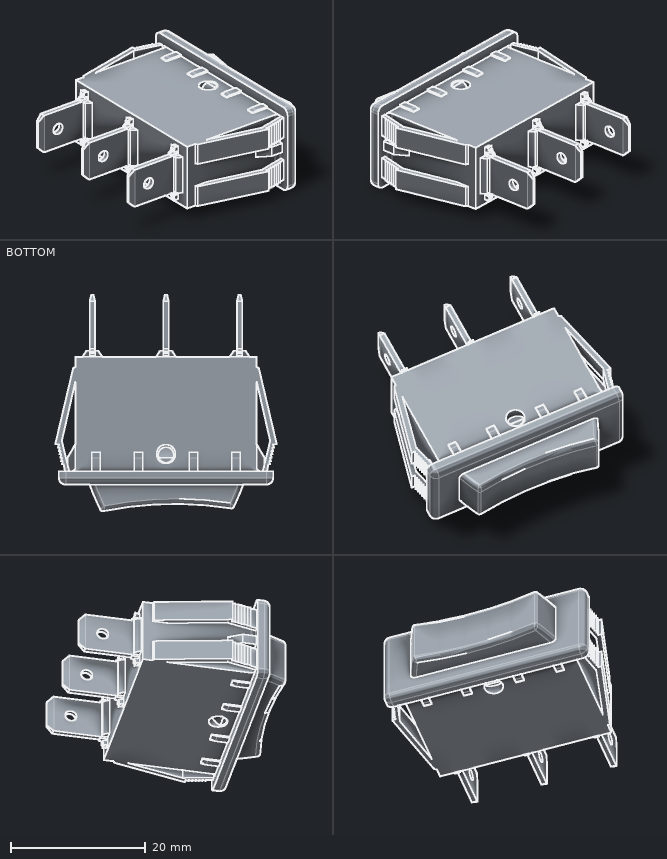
import cadquery as cq
import math


OVERLAP = 0.33

BEZEL_LENGTH = 31.9
BEZEL_HEIGHT = 13.9
BEZEL_DEPTH = 2.0
BEZEL_CORNER_RADIUS = 1.05
BEZEL_EDGE_RADIUS = 1.02

BODY_LENGTH = 26.95
BODY_HEIGHT = 10.4
BODY_DEPTH = 17.0
ROOT_FILLET = 0.53
HALF_BODY = BODY_LENGTH / 2
HALF_HEIGHT = BODY_HEIGHT / 2

ROCKER_HEIGHT = 8.05
ROCKER_LEFT_FOOT = (-11.52, BEZEL_DEPTH - OVERLAP)
ROCKER_RIGHT_FOOT = (11.6, BEZEL_DEPTH - OVERLAP)
ROCKER_LEFT_TIP = (-9.65, 6.05)
ROCKER_RIGHT_TIP = (9.95, 5.6)
ROCKER_VALLEY_Y = 4.92
ROCKER_END_BULGE = 0.05
ROCKER_TIP_RADIUS = 0.4
ROCKER_SIDE_RADIUS = 0.8

INNER_RIB_X = 4.1
INNER_RIB_WIDTH = 1.32
OUTER_RIB_X = 10.43
OUTER_RIB_WIDTH = 1.22
RIB_RISE = 0.23
RIB_END_RISE = 0.1
RIB_FLAT_LENGTH = 1.98
RIB_LENGTH = 2.77

PIVOT_HOLE_DIAMETER = 2.8
PIVOT_PIN_DIAMETER = 2.3
PIVOT_HOLE_Y = -2.55
PIVOT_PIN_Y = -2.4
PIVOT_GAP_DEPTH = 3.63
PIN_RECESS = 0.13
PIN_FLAT_END_Y = -1.98
PIN_RAMP_ANGLE = 38

CLIP_WIDTH = 3.3
CLIP_ROOT_OUTER = 15.05
CLIP_ROOT_INNER = 14.4
CLIP_REACH = 16.5
CLIP_PEAK_Y = -3.95
CLIP_ELBOW_X = 15.48
CLIP_ELBOW_Y = -4.5
CLIP_FOOT_INNER_Y = -13.25
CLIP_FOOT_X = 13.83
CLIP_FOOT_Y = -15.3
CLIP_END_Y = -15.5
TOOTH_COUNT = 6
TOOTH_PITCH = 0.5
TOOTH_FIRST_X = 15.5
TOOTH_STEP = 0.115
TOOTH_LEDGE = 0.25

WEDGE_X = 14.65
WEDGE_HEIGHT = 1.52
WEDGE_FLAT_LENGTH = 2.0
WEDGE_LENGTH = 4.03

TERMINAL_SPACING = 10.95
BLADE_THICKNESS = 0.82
BLADE_HEIGHT = 6.2
BLADE_LENGTH = 9.25
BLADE_TIP_CHAMFER = 0.95
BLADE_TIP_THICKNESS = 0.35
BLADE_HOLE_DIAMETER = 1.7
BLADE_HOLE_Y = -22.65
SHOULDER_HEIGHT = 6.65
SHOULDER_LENGTH = 1.2
COLLAR_HEIGHT = 5.97
COLLAR_WIDTH = 2.97
COLLAR_END_WIDTH = 1.78
COLLAR_LENGTH = 0.92
LUG_PROFILE = [
    (-OVERLAP, 4.32), (0.0, 4.4), (0.15, 4.45), (0.53, 4.45), (0.7, 4.62), (0.7, 4.15),
    (0.82, 4.03), (0.82, 3.85), (0.7, 3.65), (0.4, 3.65), (0.0, 3.55), (-OVERLAP, 3.55),
]


def block(x_size, y_front, y_rear, z_size):
    """Box centred on mid height, running from y_front back to y_rear."""
    return (
        cq.Workplane("XY")
        .box(x_size, y_front - y_rear, z_size)
        .translate((0, (y_front + y_rear) / 2, 0))
    )


def both_ends(part):
    return part.union(part.mirror("YZ"))


def above_and_below(part):
    return part.union(part.mirror("XY"))


def bezel():
    plate = block(BEZEL_LENGTH, BEZEL_DEPTH, 0, BEZEL_HEIGHT)
    plate = plate.edges("|Y").fillet(BEZEL_CORNER_RADIUS)
    return plate.faces(">Y").edges().fillet(BEZEL_EDGE_RADIUS)


def body():
    """Housing block with a fillet where its ends meet the bezel."""
    foot = HALF_BODY + ROOT_FILLET
    bend = ROOT_FILLET * (1 - math.sqrt(0.5))
    root = (
        cq.Workplane("XY")
        .moveTo(-foot, 0)
        .threePointArc((-HALF_BODY - bend, -bend), (-HALF_BODY, -ROOT_FILLET))
        .lineTo(HALF_BODY, -ROOT_FILLET)
        .threePointArc((HALF_BODY + bend, -bend), (foot, 0))
        .close()
        .extrude(HALF_HEIGHT, both=True)
    )
    return block(BODY_LENGTH, OVERLAP, -BODY_DEPTH, BODY_HEIGHT).union(root)


def end_bulge(foot, tip, bulge):
    """Middle point of a rocker end, pushed sideways by bulge."""
    return ((foot[0] + tip[0]) / 2 + bulge, (foot[1] + tip[1]) / 2)


def rocker():
    """Tilted rocker with a dished top and slightly bulged ends."""
    left_bulge = end_bulge(ROCKER_LEFT_FOOT, ROCKER_LEFT_TIP, -ROCKER_END_BULGE)
    right_bulge = end_bulge(ROCKER_RIGHT_FOOT, ROCKER_RIGHT_TIP, ROCKER_END_BULGE)
    solid = (
        cq.Workplane("XY")
        .moveTo(*ROCKER_LEFT_FOOT)
        .threePointArc(left_bulge, ROCKER_LEFT_TIP)
        .threePointArc((0, ROCKER_VALLEY_Y), ROCKER_RIGHT_TIP)
        .threePointArc(right_bulge, ROCKER_RIGHT_FOOT)
        .close()
        .extrude(ROCKER_HEIGHT / 2, both=True)
    )
    solid = solid.edges("|Z").edges("not(<Y)").fillet(ROCKER_TIP_RADIUS)
    return solid.faces("|Z").edges("not(<Y)").fillet(ROCKER_SIDE_RADIUS)


def crush_ribs():
    profile = [
        (OVERLAP, HALF_HEIGHT - OVERLAP),
        (OVERLAP, HALF_HEIGHT + RIB_RISE),
        (-RIB_FLAT_LENGTH, HALF_HEIGHT + RIB_RISE),
        (-RIB_LENGTH, HALF_HEIGHT + RIB_END_RISE),
        (-RIB_LENGTH, HALF_HEIGHT - OVERLAP),
    ]
    ribs = cq.Workplane("XY")
    for x, width in ((INNER_RIB_X, INNER_RIB_WIDTH), (OUTER_RIB_X, OUTER_RIB_WIDTH)):
        rib = cq.Workplane("YZ").polyline(profile).close().extrude(width / 2, both=True)
        ribs = ribs.union(rib.translate((x, 0, 0)))
    return above_and_below(both_ends(ribs))


def clips():
    """Four toothed spring clips, two at each end."""
    outline = [(HALF_BODY - OVERLAP, CLIP_END_Y), (HALF_BODY - OVERLAP, CLIP_FOOT_INNER_Y)]
    outline += [(HALF_BODY, CLIP_FOOT_INNER_Y), (CLIP_ELBOW_X, CLIP_ELBOW_Y)]
    outline += [(CLIP_ROOT_INNER, 0), (CLIP_ROOT_INNER, OVERLAP)]
    outline += [(CLIP_ROOT_OUTER, OVERLAP), (CLIP_ROOT_OUTER, 0)]
    for tooth in range(TOOTH_COUNT):
        y = CLIP_PEAK_Y + (TOOTH_COUNT - tooth) * TOOTH_PITCH
        tip_x = TOOTH_FIRST_X + tooth * TOOTH_STEP
        outline += [(tip_x - TOOTH_LEDGE, y), (tip_x, y)]
    last_root_x = TOOTH_FIRST_X + TOOTH_COUNT * TOOTH_STEP - TOOTH_LEDGE
    outline += [(last_root_x, CLIP_PEAK_Y), (CLIP_REACH, CLIP_PEAK_Y)]
    outline += [(CLIP_FOOT_X, CLIP_FOOT_Y), (HALF_BODY, CLIP_END_Y)]
    clip = (
        cq.Workplane("XY", origin=(0, 0, HALF_HEIGHT - CLIP_WIDTH))
        .polyline(outline)
        .close()
        .extrude(CLIP_WIDTH)
    )
    return above_and_below(both_ends(clip))


def side_wedges():
    outline = [
        (HALF_BODY - OVERLAP, OVERLAP),
        (WEDGE_X, OVERLAP),
        (WEDGE_X, -WEDGE_FLAT_LENGTH),
        (HALF_BODY, -WEDGE_LENGTH),
        (HALF_BODY - OVERLAP, -WEDGE_LENGTH),
    ]
    wedge = cq.Workplane("XY").polyline(outline).close().extrude(WEDGE_HEIGHT / 2, both=True)
    return both_ends(wedge)


def pivot_holes():
    gap_floor = HALF_HEIGHT - PIVOT_GAP_DEPTH
    hole = (
        cq.Workplane("XY", origin=(0, PIVOT_HOLE_Y, gap_floor))
        .circle(PIVOT_HOLE_DIAMETER / 2)
        .extrude(PIVOT_GAP_DEPTH)
    )
    return above_and_below(hole)


def pivot_pins():
    """Pins standing in the pivot holes, with a lead-in ramp on the rear side."""
    gap_floor = HALF_HEIGHT - PIVOT_GAP_DEPTH
    pin_top = HALF_HEIGHT - PIN_RECESS
    pin = (
        cq.Workplane("XY", origin=(0, PIVOT_PIN_Y, gap_floor - OVERLAP))
        .circle(PIVOT_PIN_DIAMETER / 2)
        .extrude(pin_top - gap_floor + OVERLAP)
    )
    ramp_end_y = PIN_FLAT_END_Y - PIVOT_PIN_DIAMETER
    ramp_end_z = pin_top - PIVOT_PIN_DIAMETER * math.tan(math.radians(PIN_RAMP_ANGLE))
    ramp_cut = (
        cq.Workplane("YZ")
        .polyline([(PIN_FLAT_END_Y, pin_top), (ramp_end_y, pin_top), (ramp_end_y, ramp_end_z)])
        .close()
        .extrude(PIVOT_PIN_DIAMETER, both=True)
    )
    return above_and_below(pin.cut(ramp_cut))


def terminal():
    """Spade terminal at mid length with its collar, shoulder and hooked lugs."""
    rear = -BODY_DEPTH
    front = rear + OVERLAP
    tip = rear - BLADE_LENGTH
    bevel_start = tip + BLADE_TIP_CHAMFER
    half_thick = BLADE_THICKNESS / 2
    half_tip = BLADE_TIP_THICKNESS / 2

    blade = block(BLADE_THICKNESS, front, tip, BLADE_HEIGHT)
    blade = blade.faces("<Y").edges("|X").chamfer(BLADE_TIP_CHAMFER)
    taper = (
        cq.Workplane("XY")
        .polyline([
            (-half_thick, front), (half_thick, front), (half_thick, bevel_start),
            (half_tip, tip), (-half_tip, tip), (-half_thick, bevel_start),
        ])
        .close()
        .extrude(BLADE_HEIGHT, both=True)
    )
    blade = blade.intersect(taper)
    hole = (
        cq.Workplane("YZ")
        .center(BLADE_HOLE_Y, 0)
        .circle(BLADE_HOLE_DIAMETER / 2)
        .extrude(BLADE_THICKNESS, both=True)
    )
    shoulder = block(BLADE_THICKNESS, front, rear - SHOULDER_LENGTH, SHOULDER_HEIGHT)
    collar = (
        cq.Workplane("XY")
        .polyline([
            (-COLLAR_WIDTH / 2, front), (COLLAR_WIDTH / 2, front), (COLLAR_WIDTH / 2, rear),
            (COLLAR_END_WIDTH / 2, rear - COLLAR_LENGTH),
            (-COLLAR_END_WIDTH / 2, rear - COLLAR_LENGTH), (-COLLAR_WIDTH / 2, rear),
        ])
        .close()
        .extrude(COLLAR_HEIGHT / 2, both=True)
    )
    lug = (
        cq.Workplane("YZ")
        .polyline([(rear - back, z) for back, z in LUG_PROFILE])
        .close()
        .extrude(half_thick, both=True)
    )
    return blade.cut(hole).union(shoulder).union(collar).union(above_and_below(lug))


result = bezel().union(body()).union(rocker())
result = result.union(crush_ribs()).union(side_wedges()).union(clips())
result = result.cut(pivot_holes()).union(pivot_pins())
for position in (-1, 0, 1):
    result = result.union(terminal().translate((position * TERMINAL_SPACING, 0, 0)))